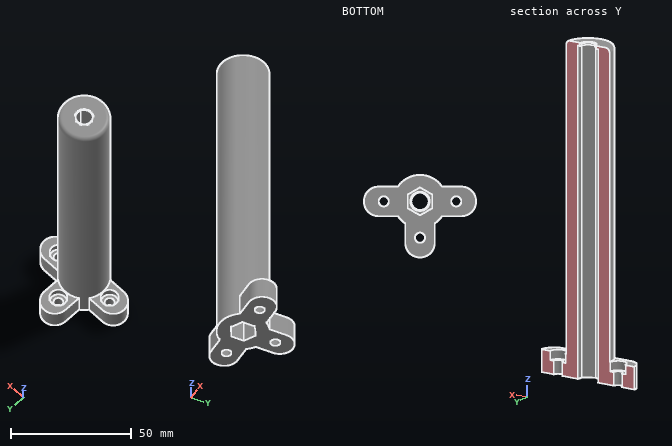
import cadquery as cq
import math

post_diameter = 22.0
post_height = 145.0
rim_fillet = 2.0

mouth_diameter = 7.1
mouth_depth = 0.5
relief_diameter = 8.0
relief_depth = 1.0
hex_sides = 6
hex_across_flats = 10.0
hex_across_corners = hex_across_flats / math.cos(math.pi / hex_sides)
hex_turn = 180 / hex_sides

lug_width = 12.35
lug_reach = 23.25
lug_thickness = 10.0
lug_angles = (0, 90, 180)
lug_end_radius = lug_width / 2
lug_end_center = lug_reach - lug_end_radius

screw_offset = 15.0
screw_diameter = 4.1
head_diameter = 7.5
head_depth = 4.0


def make_post():
    """Solid round bar standing on Z = 0, rounded around its top edge."""
    post = cq.Workplane("XY").circle(post_diameter / 2).extrude(post_height)
    return post.faces(">Z").edges().fillet(rim_fillet)


def make_lug(angle):
    """Foot with a rounded end, reaching from the post axis, turned about Z by the angle."""
    lug = (
        cq.Workplane("XY")
        .moveTo(0, -lug_end_radius)
        .lineTo(lug_end_center, -lug_end_radius)
        .threePointArc((lug_reach, 0), (lug_end_center, lug_end_radius))
        .lineTo(0, lug_end_radius)
        .close()
        .extrude(lug_thickness)
    )
    return lug.rotate((0, 0, 0), (0, 0, 1), angle)


def make_screw_cutter(angle):
    """Through hole plus head recess from the lug's upper face, turned about Z by the angle."""
    hole = cq.Workplane("XY").center(screw_offset, 0).circle(screw_diameter / 2).extrude(lug_thickness)
    head = (
        cq.Workplane("XY", origin=(screw_offset, 0, lug_thickness - head_depth))
        .circle(head_diameter / 2)
        .extrude(head_depth)
    )
    return hole.union(head).rotate((0, 0, 0), (0, 0, 1), angle)


def make_bore_cutter():
    """Axial mouth, relief and hexagonal passage, with two hexagon corners on the Y axis."""
    relief_top = post_height - mouth_depth
    hex_top = relief_top - relief_depth
    mouth = cq.Workplane("XY").circle(mouth_diameter / 2).extrude(post_height)
    relief = cq.Workplane("XY").circle(relief_diameter / 2).extrude(relief_top)
    passage = cq.Workplane("XY").polygon(hex_sides, hex_across_corners).extrude(hex_top)
    return mouth.union(relief).union(passage.rotate((0, 0, 0), (0, 0, 1), hex_turn))


result = make_post()
for lug_angle in lug_angles:
    result = result.union(make_lug(lug_angle))
for lug_angle in lug_angles:
    result = result.cut(make_screw_cutter(lug_angle))
result = result.cut(make_bore_cutter())